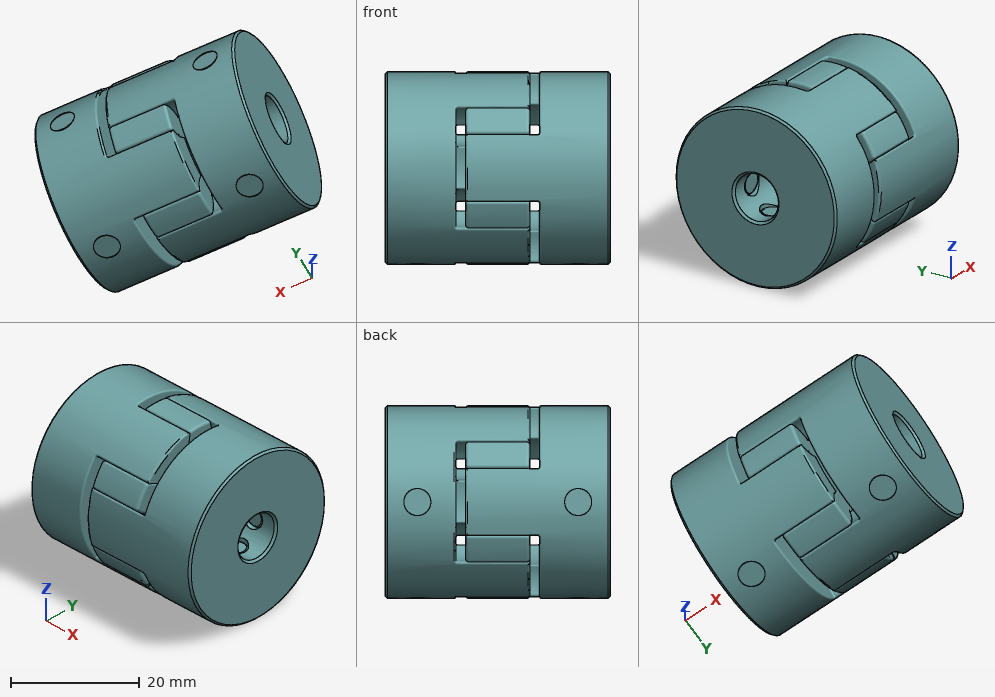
import cadquery as cq
import math

LENGTH = 35.0
OUTER_RADIUS = 14.998
BORE_RADIUS = 4.0
BORE_CHAMFER = 0.4
END_CHAMFER = 0.35

FLANGE_LENGTH = 11.0
TIP_GAP = 1.5
JAW_TIP_X = LENGTH - FLANGE_LENGTH - TIP_GAP
JAW_COUNT = 3
JAW_PITCH = 360 / JAW_COUNT
JAW_INNER_RADIUS = 10.0
JAW_INNER_HALF_WIDTH = 3.3
JAW_OVERSHOOT = 0.35
JAW_OUTLINE_RADIUS = OUTER_RADIUS + JAW_OVERSHOOT
JAW_OUTLINE_HALF_ANGLE = 22.2
FLANK_RADIUS = 6.0
INNER_CORNER_FILLET = 0.2
ROOT_FILLET = 0.3
RIM_FILLET = 0.3

SPIDER_START_X = FLANGE_LENGTH + TIP_GAP
SPIDER_THICKNESS = LENGTH - 2 * SPIDER_START_X
ARM_END_FILLET = 0.5
ARM_SIDE_FILLET = 0.42

SCREW_X = 5.0
SCREW_RADIUS = 2.1
SCREW_TIP_CHAMFER = 0.3
SCREW_DIRECTIONS = [(0, 1, 0), (0, 0, -1)]

TINY = 0.005


def on_axis(start_x):
    """Workplane across the coupling axis: local x is +Y, local y is +Z."""
    return cq.Workplane("YZ", origin=(start_x, 0, 0))


def cylinder(start_x, end_x, radius):
    return on_axis(start_x).circle(radius).extrude(end_x - start_x)


def jaw_prism(start_x, end_x):
    """One jaw along +Y, with concave flanks and a concave inner face, drawn slightly past the hub's rim."""
    inner_y = math.sqrt(JAW_INNER_RADIUS**2 - JAW_INNER_HALF_WIDTH**2)
    half_angle = math.radians(JAW_OUTLINE_HALF_ANGLE)
    outer_y = JAW_OUTLINE_RADIUS * math.cos(half_angle)
    outer_z = JAW_OUTLINE_RADIUS * math.sin(half_angle)
    chord = math.hypot(outer_y - inner_y, outer_z - JAW_INNER_HALF_WIDTH)
    sag = FLANK_RADIUS - math.sqrt(FLANK_RADIUS**2 - (chord / 2) ** 2)
    jaw = (
        on_axis(start_x)
        .moveTo(inner_y, -JAW_INNER_HALF_WIDTH)
        .threePointArc((JAW_INNER_RADIUS, 0), (inner_y, JAW_INNER_HALF_WIDTH))
        .sagittaArc((outer_y, outer_z), -sag)
        .threePointArc((JAW_OUTLINE_RADIUS, 0), (outer_y, -outer_z))
        .sagittaArc((inner_y, -JAW_INNER_HALF_WIDTH), -sag)
        .close()
        .extrude(end_x - start_x)
    )
    return jaw.edges("|X").edges("<Y").fillet(INNER_CORNER_FILLET)


def jaw_ring(start_x, end_x, first_angle, count):
    """Evenly spaced jaws around X, the first one turned from +Y by first_angle."""
    jaw = jaw_prism(start_x, end_x)
    return [jaw.rotate((0, 0, 0), (1, 0, 0), first_angle + i * 360 / count) for i in range(count)]


def edge_radius(edge):
    """Distance of an edge's middle from the coupling axis."""
    middle = edge.positionAt(0.5)
    return math.hypot(middle.y, middle.z)


def is_root_edge(edge):
    """True where a jaw's flank or inner face meets the flange."""
    flat = edge.BoundingBox().xlen < TINY
    return flat and abs(edge.Center().x - FLANGE_LENGTH) < TINY and edge_radius(edge) < OUTER_RADIUS - TINY


def is_rim_edge(edge):
    """True along the outer border of the flange face and the jaws."""
    return edge.Center().x > FLANGE_LENGTH - TINY and abs(edge_radius(edge) - OUTER_RADIUS) < TINY


def screw_cylinder(direction, inner, outer):
    """Radial cylinder between two distances from the coupling axis."""
    start = cq.Vector(SCREW_X, 0, 0) + cq.Vector(*direction) * inner
    return cq.Workplane(cq.Solid.makeCylinder(SCREW_RADIUS, outer - inner, start, cq.Vector(*direction)))


def coupling_hub(first_jaw_angle):
    """Hub whose outer end is at x = 0 and whose jaws point to +X."""
    between_jaws = cylinder(FLANGE_LENGTH, JAW_TIP_X, JAW_OUTLINE_RADIUS)
    for jaw in jaw_ring(FLANGE_LENGTH, JAW_TIP_X, first_jaw_angle, JAW_COUNT):
        between_jaws = between_jaws.cut(jaw)
    hub = cylinder(0, JAW_TIP_X, OUTER_RADIUS).cut(between_jaws)
    hub = hub.newObject([e for e in hub.edges().vals() if is_root_edge(e)]).fillet(ROOT_FILLET)
    hub = hub.newObject([e for e in hub.edges().vals() if is_rim_edge(e)]).fillet(RIM_FILLET)
    hub = hub.faces("<X").chamfer(END_CHAMFER)
    hub = hub.cut(cylinder(0, FLANGE_LENGTH, BORE_RADIUS))
    hub = hub.faces("<X").edges("%CIRCLE").edges(cq.selectors.RadiusNthSelector(0)).chamfer(BORE_CHAMFER)
    for direction in SCREW_DIRECTIONS:
        hub = hub.cut(screw_cylinder(direction, 0, OUTER_RADIUS))
    return hub


def far_end(body):
    """Mirror image of a body on the other half of the coupling."""
    return body.mirror("YZ", (LENGTH / 2, 0, 0))


def spider():
    """Disc that fills the space between all six jaws, with rounded arms."""
    end_x = SPIDER_START_X + SPIDER_THICKNESS
    body = cylinder(SPIDER_START_X, end_x, OUTER_RADIUS)
    for jaw in jaw_ring(SPIDER_START_X, end_x, 0, 2 * JAW_COUNT):
        body = body.cut(jaw)
    arm_sides = [e for e in body.edges("|X").vals() if abs(edge_radius(e) - OUTER_RADIUS) < TINY]
    body = body.newObject(arm_sides).fillet(ARM_SIDE_FILLET)
    body = body.cut(cylinder(SPIDER_START_X, end_x, BORE_RADIUS))
    arm_ends = [
        e for e in body.edges("%CIRCLE").vals()
        if e.BoundingBox().xlen < TINY and abs(edge_radius(e) - OUTER_RADIUS) < TINY
    ]
    return body.newObject(arm_ends).fillet(ARM_END_FILLET)


def set_screw(direction):
    """Radial screw from the bore to the rim, with a chamfered tip."""
    screw = screw_cylinder(direction, BORE_RADIUS, OUTER_RADIUS)
    tip = cq.selectors.DirectionNthSelector(cq.Vector(*direction), 0)
    return screw.faces(tip).chamfer(SCREW_TIP_CHAMFER)


near_hub = coupling_hub(0)
far_hub = far_end(coupling_hub(JAW_PITCH / 2))
elastic_spider = spider()
set_screws = []
for screw_direction in SCREW_DIRECTIONS:
    near_screw = set_screw(screw_direction)
    set_screws += [near_screw.val(), far_end(near_screw).val()]

result = cq.Compound.makeCompound([near_hub.val(), far_hub.val(), elastic_spider.val(), *set_screws])